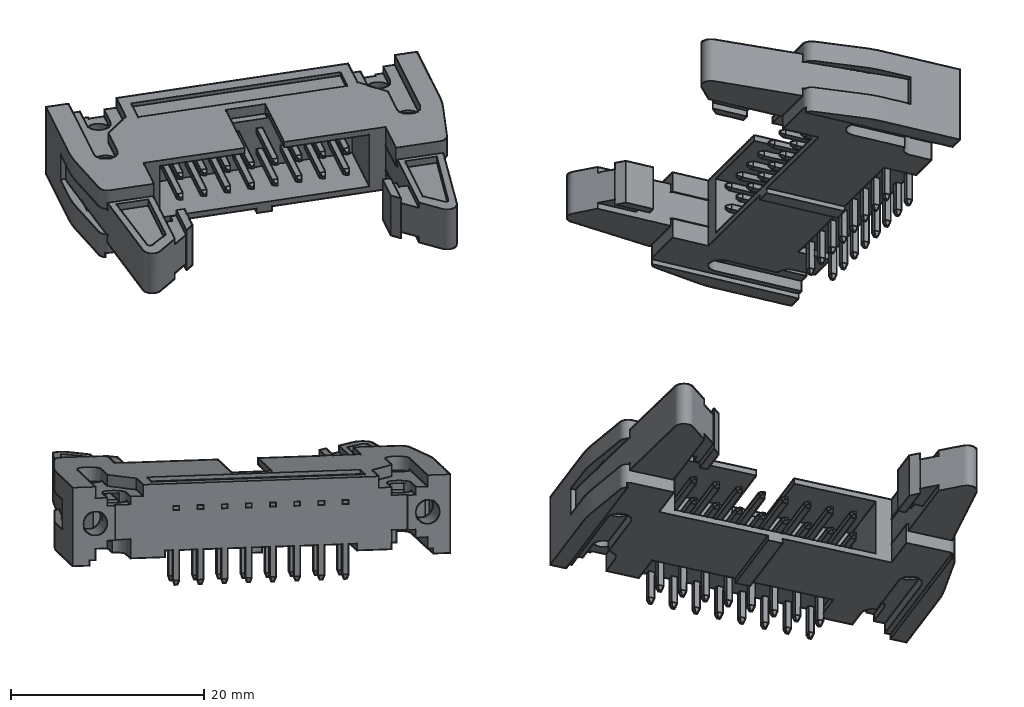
import cadquery as cq
import math


over = 0.4

length = 39.82
half_length = length / 2
top_z = 8.3
foot_height = 0.55
mid_z = (top_z + foot_height) / 2
rear_step = 0.28
rear_step_y = 15.4
shroud_front = 12.95
arm_front = 17.05
arm_inner_y = 13.0
flank_start = 9.95
flank_angle = math.radians(11)
flank_round = 9.95
arm_corner_round = 1.05
end_foot_width = 1.8
end_foot_front = 16.9
centre_foot_width = 1.65

bore = 2.5
mount_x = 2.7
mount_y = 15.0
mount_channel_depth = 2.05
pivot_x = 9.95
pivot_y = 16.25
pivot_recess = 0.3
channel_depth = 1.2
channel_inner_y = 12.42
channel_bend_x = 3.95
cross_hole_y = 17.52

slit_rear = 5.7
slit_height = 3.15
chamber_rear = 3.75
chamber_front = 11.95
chamber_inner_y = 14.3
chamber_outer_y = 18.8
chamber_height = 4.78

lever_rear = 6.3
lever_rear_y = 19.35
lever_inner_y = 13.1
tail_x = 4.58
tail_outer_y = 18.35
tail_inner_y = 16.85
tail_front = 7.15
head_rear = 17.2
head_height = 4.95
tip_x = 28.8
tip_y = 16.6
tip_round = 1.05
hook_root_x = 25.65
hook_neck_rear = 21.22
hook_neck_front = 24.2
hook_neck_y = 12.15
hook_rear = 20.43
hook_lip_y = 11.5
hook_lip_front = 24.4
hook_end_y = 10.65
hook_end_front = 23.57
hook_step = 0.68
window_depth = 0.8
window_rear = 17.68
window_front = 24.55
window_inner_y = 13.78
window_outer_y = 17.2
window_tip_x = 26.52
window_tip_y = 16.1
window_round = 0.3

pitch = 2.55
columns = 8
pin_width = 0.65
pin_bottom = -2.43
pin_front = 12.9
pin_root_x = 5.05
pin_root_z = 1.87
pin_taper = 0.5
pin_tip_width = 0.28
rear_pin_x = rear_step + pin_width / 2

cavity_rear = 6.3
cavity_height = 6.37
cavity_half_width = 11.23
label_rear = 1.67
label_front = 4.4
label_half_width = 11.23
label_depth = 0.45
key_rear = 5.45
key_half_width = 2.1
key_depth = 1.2
pin_recess_half_width = 10.1
pin_recess_top = 1.27
pin_recess_front = 4.0
rear_mark_width = 0.65
rear_mark_height = 0.45
rear_mark_depth = 0.2


def block(x_range, y_range, z_range):
    size = [end - start for start, end in (x_range, y_range, z_range)]
    corner = (x_range[0], y_range[0], z_range[0])
    return cq.Workplane("XY").box(*size, centered=False).translate(corner)


def prism(points, z_range):
    plane = cq.Workplane("XY").workplane(offset=z_range[0])
    return plane.polyline(points).close().extrude(z_range[1] - z_range[0])


def cylinder(x, y, z_range):
    plane = cq.Workplane("XY").workplane(offset=z_range[0])
    return plane.center(x, y).circle(bore / 2).extrude(z_range[1] - z_range[0])


def about_middle(height):
    return (mid_z - height / 2, mid_z + height / 2)


def round_corner(shape, x, y, radius):
    """Round the vertical edge that stands at (x, y)."""
    reach = 0.05
    low = (x - reach, y - reach, -length)
    high = (x + reach, y + reach, length)
    return shape.edges("|Z").edges(cq.selectors.BoxSelector(low, high)).fillet(radius)


def round_ended_channel(x, y, z_range):
    straight = block((-over, x), (y - bore / 2, y + bore / 2), z_range)
    return straight.union(cylinder(x, y, z_range))


def housing_half():
    corner_y = half_length - (arm_front - flank_start) * math.tan(flank_angle)
    outline = [
        (rear_step, 0),
        (rear_step, rear_step_y),
        (0, rear_step_y),
        (0, half_length),
        (flank_start, half_length),
        (arm_front, corner_y),
        (arm_front, arm_inner_y),
        (shroud_front, arm_inner_y),
        (shroud_front, 0),
    ]
    body = prism(outline, (0, top_z))
    body = round_corner(body, flank_start, half_length, flank_round)
    body = round_corner(body, arm_front, corner_y, arm_corner_round)
    under = (-over, foot_height)
    foot_inner_y = half_length - end_foot_width
    body = body.cut(block((-over, length), (centre_foot_width / 2, foot_inner_y), under))
    body = body.cut(block((-over, pin_recess_front), (0, foot_inner_y), under))
    return body.cut(block((end_foot_front, length), (0, half_length), under))


def end_cuts():
    upper = (top_z - channel_depth, top_z + over)
    lower = (-over, foot_height + channel_depth)
    cuts = cylinder(pivot_x, pivot_y, (-over, top_z + over))
    cuts = cuts.union(round_ended_channel(pivot_x, pivot_y, upper))
    cuts = cuts.union(round_ended_channel(pivot_x, pivot_y, lower))

    inner_edge = pivot_y - bore / 2
    widening = [
        (-over, pivot_y),
        (-over, channel_inner_y),
        (channel_bend_x, channel_inner_y),
        (channel_bend_x + inner_edge - channel_inner_y, inner_edge),
        (pivot_x, pivot_y),
    ]
    cuts = cuts.union(prism(widening, upper))

    cuts = cuts.union(cylinder(mount_x, mount_y, (-over, top_z + over)))
    mount_upper = (top_z - mount_channel_depth, top_z + over)
    mount_lower = (-over, foot_height + mount_channel_depth)
    cuts = cuts.union(round_ended_channel(mount_x, mount_y, mount_upper))
    cuts = cuts.union(round_ended_channel(mount_x, mount_y, mount_lower))

    cuts = cuts.union(block((slit_rear, length), (arm_inner_y, length), about_middle(slit_height)))
    chamber = block(
        (chamber_rear, chamber_front), (chamber_inner_y, chamber_outer_y), about_middle(chamber_height)
    )
    cross_hole = cq.Workplane("YZ").center(cross_hole_y, mid_z).circle(bore / 2).extrude(slit_rear)
    return cuts.union(chamber).union(cross_hole)


def lever():
    slope = (lever_rear_y - tip_y) / (tip_x - lever_rear)
    head_outer_y = lever_rear_y - (head_rear - lever_rear) * slope
    arm = prism(
        [
            (head_rear, head_outer_y),
            (lever_rear, lever_rear_y),
            (slit_rear, lever_rear_y),
            (slit_rear, tail_outer_y),
            (tail_x, tail_inner_y),
            (tail_x, chamber_inner_y),
            (tail_front, chamber_inner_y),
            (tail_front, lever_inner_y),
            (head_rear, lever_inner_y),
        ],
        about_middle(slit_height),
    )
    pivot_reach = top_z - foot_height - 2 * (channel_depth + pivot_recess)
    arm = arm.union(cylinder(pivot_x, pivot_y, about_middle(pivot_reach)))

    head_outline = [
        (head_rear, lever_inner_y),
        (head_rear, head_outer_y),
        (tip_x, tip_y),
        (hook_root_x, lever_inner_y),
    ]
    head = prism(head_outline, about_middle(head_height))
    head = round_corner(head, tip_x, tip_y, tip_round)

    head_top = mid_z + head_height / 2
    window_outline = [
        (window_rear, window_inner_y),
        (window_rear, window_outer_y),
        (window_tip_x, window_tip_y),
        (window_front, window_inner_y),
    ]
    window = prism(window_outline, (head_top - window_depth, head_top + over))
    head = head.cut(round_corner(window, window_tip_x, window_tip_y, window_round))

    neck_outline = [
        (hook_neck_rear, lever_inner_y),
        (hook_neck_rear, hook_neck_y),
        (hook_rear, hook_neck_y),
        (hook_rear, hook_lip_y),
        (hook_neck_front, hook_lip_y),
        (hook_root_x, lever_inner_y),
    ]
    lip_outline = [
        (hook_rear, hook_lip_y),
        (hook_rear, hook_end_y),
        (hook_end_front, hook_end_y),
        (hook_lip_front, hook_lip_y),
    ]
    neck = prism(neck_outline, about_middle(head_height - 2 * hook_step))
    lip = prism(lip_outline, about_middle(head_height))
    return arm.union(head).union(neck).union(lip)


def shroud_cuts():
    cavity = block(
        (cavity_rear, shroud_front), (-cavity_half_width, cavity_half_width), about_middle(cavity_height)
    )
    label = block(
        (label_rear, label_front), (-label_half_width, label_half_width), (top_z - label_depth, top_z + over)
    )
    key = block(
        (key_rear, shroud_front), (-key_half_width, key_half_width), (top_z - key_depth, top_z + over)
    )
    recess = block(
        (-over, pin_recess_front), (-pin_recess_half_width, pin_recess_half_width), (-over, pin_recess_top)
    )
    return cavity.union(label).union(key).union(recess)


def pin(plane, start, end):
    """Square contact along the plane normal, tapered at its free end."""
    shoulder = end - math.copysign(pin_taper, end - start)
    shank = cq.Workplane(plane).workplane(offset=start).rect(pin_width, pin_width).extrude(shoulder - start)
    tip = (
        cq.Workplane(plane)
        .workplane(offset=shoulder)
        .rect(pin_width, pin_width)
        .workplane(offset=end - shoulder)
        .rect(pin_tip_width, pin_tip_width)
        .loft()
    )
    return shank.union(tip)


columns_y = [(column - (columns - 1) / 2) * pitch for column in range(columns)]
upper_row_z = mid_z + pitch / 2
lower_row_z = mid_z - pitch / 2

half = housing_half().cut(end_cuts()).union(lever())
result = half.union(half.mirror("XZ")).cut(shroud_cuts())

for y in columns_y:
    for pin_x in (rear_pin_x, rear_pin_x + pitch):
        result = result.union(pin("XY", pin_root_z, pin_bottom).translate((pin_x, y, 0)))
    for row_z in (upper_row_z, lower_row_z):
        result = result.union(pin("YZ", pin_root_x, pin_front).translate((0, y, row_z)))
    mark = block(
        (0, rear_step + rear_mark_depth),
        (y - rear_mark_width / 2, y + rear_mark_width / 2),
        (upper_row_z - rear_mark_height / 2, upper_row_z + rear_mark_height / 2),
    )
    result = result.cut(mark)